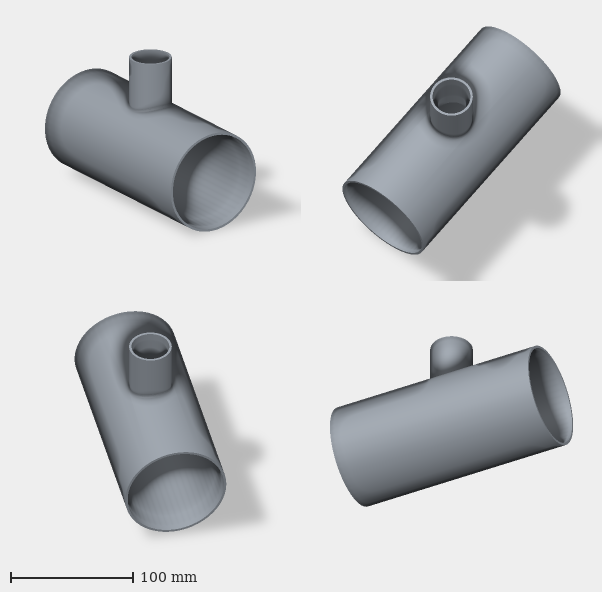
import cadquery as cq

pipe_length = 180
pipe_diameter = 85.0
wall = 2.0

branch_diameter = 35.0
branch_top = 81.5
weld_radius = 2.0


def main_cylinder(diameter):
    """Solid cylinder over the full length of the main pipe."""
    return cq.Workplane("YZ").circle(diameter / 2).extrude(pipe_length / 2, both=True)


def branch_cylinder(diameter):
    """Solid cylinder from the main pipe axis to the branch top."""
    return cq.Workplane("XY").circle(diameter / 2).extrude(branch_top)


def branch_joint_edges(body):
    """Edges of the saddle curve between the two outer surfaces."""
    saddle_zone = cq.selectors.BoxSelector(
        (-branch_diameter, -branch_diameter, 0),
        (branch_diameter, branch_diameter, pipe_diameter / 2 + wall),
        boundingbox=True,
    )
    return body.edges(saddle_zone)


outer = main_cylinder(pipe_diameter).union(branch_cylinder(branch_diameter))
outer = branch_joint_edges(outer).fillet(weld_radius)

pipe_bore = main_cylinder(pipe_diameter - 2 * wall)
branch_bore = branch_cylinder(branch_diameter - 2 * wall)
result = outer.cut(pipe_bore).cut(branch_bore)